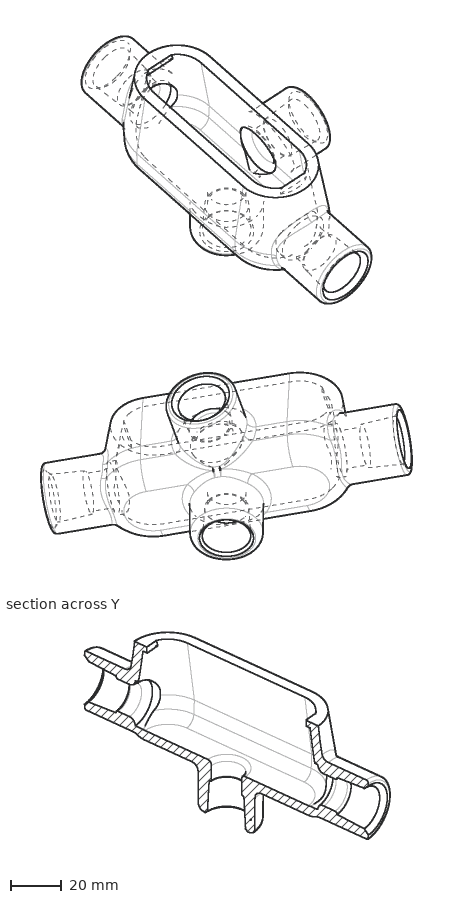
import cadquery as cq
import math

overall_length = 144.79
overall_width = 63.8
overall_height = 66.62

end_arc_offset = 29.9
belt_half_width = 21.36
rim_half_width = 17.0
rim_height = 29.6
body_depth = 15.7
lower_draft = 3.0
bottom_edge_radius = 9.3

wall = 4.85
lip_half_length = 40.5
lip_height = 3.0

port_diameter = 28.57
port_reach_x = overall_length / 2
port_reach_y = overall_width - belt_half_width
port_reach_z = overall_height - rim_height
port_tip_radius = 1.2
lower_port_tip_diameter = 28.9
lower_port_tip_radius = 3.0
lower_port_draft = 0.6
port_root_radius = 3.0
lower_port_root_radius = 3.0

contact_tolerance = 0.001

mouth_diameter = 23.5
lower_mouth_diameter = 21.44
bore_diameter = 19.2
bore_end_diameter = 17.45
bore_length = 16.0
throat_diameter = 15.2
side_entry_diameter = 21.44
lower_entry_diameter = 19.2


def slot(half_width):
    """Slot outline along X on the plane z = 0."""
    return cq.Workplane("XY").slot2D(2 * (end_arc_offset + half_width), 2 * half_width)


def double_tapered_slot(inset):
    """Solid bounded by the body's outer surface moved inwards by `inset`, with the rim left in place."""
    upper_draft = math.degrees(math.atan((belt_half_width - rim_half_width) / rim_height))
    upper = slot(belt_half_width - inset).extrude(rim_height, taper=upper_draft)
    lower = slot(belt_half_width - inset).extrude(inset - body_depth, taper=lower_draft)
    lower = lower.faces("<Z").edges().fillet(bottom_edge_radius - inset)
    return upper.union(lower)


def make_cavity():
    """Space inside the body, cut off flat at both ends over the height of the lip."""
    lip_bottom = rim_height - lip_height
    opening = (
        cq.Workplane("XY", origin=(0, 0, lip_bottom))
        .rect(2 * lip_half_length, 2 * belt_half_width)
        .extrude(lip_height)
    )
    below_lip = (
        cq.Workplane("XY", origin=(0, 0, -body_depth))
        .rect(2 * port_reach_x, 2 * belt_half_width)
        .extrude(body_depth + lip_bottom)
    )
    return double_tapered_slot(wall).intersect(opening.union(below_lip))


def side_of(direction):
    """A direction square to a port, along which the seam of its surface lies."""
    return (1, 0, 0) if direction[2] else (0, 0, 1)


def along(direction):
    """Workplane through the origin whose normal points along a port."""
    return cq.Workplane(cq.Plane((0, 0, 0), xDir=side_of(direction), normal=direction))


def side_port(direction, reach):
    """Straight cylindrical port with a rounded tip."""
    port = along(direction).circle(port_diameter / 2).extrude(reach)
    return port.faces(cq.DirectionMinMaxSelector(cq.Vector(*direction))).edges().fillet(port_tip_radius)


def lower_port():
    """Port pointing down that widens slightly towards the body."""
    axis_radius = lower_port_tip_diameter / 2 + port_reach_z * math.tan(math.radians(lower_port_draft))
    port = cq.Workplane("XY").circle(axis_radius).extrude(-port_reach_z, taper=lower_port_draft)
    return port.faces("<Z").edges().fillet(lower_port_tip_radius)


def bore(direction, reach, cavity_wall, tip_opening, cavity_opening):
    """Bore from the middle of the part, through the cavity wall, to the port tip at `reach`."""
    mouth = tip_opening / 2
    bore_start = bore_diameter / 2
    bore_end = bore_end_diameter / 2
    throat = throat_diameter / 2
    entry = cavity_opening / 2
    mouth_chamfer = mouth - bore_start
    entry_round = entry - throat
    outer_round = bore_end - throat
    bore_bottom = reach - bore_length
    arc_share = 1 - math.sqrt(0.5)

    side = cq.Vector(*side_of(direction))
    plane = cq.Plane((0, 0, 0), xDir=side, normal=side.cross(cq.Vector(*direction)))
    profile = (
        cq.Workplane(plane)
        .lineTo(entry, 0)
        .lineTo(entry, cavity_wall)
        .threePointArc(
            (throat + entry_round * arc_share, cavity_wall + entry_round * arc_share),
            (throat, cavity_wall + entry_round),
        )
        .lineTo(throat, bore_bottom - outer_round)
        .threePointArc(
            (throat + outer_round * arc_share, bore_bottom - outer_round * arc_share),
            (bore_end, bore_bottom),
        )
        .lineTo(bore_start, reach - mouth_chamfer)
        .lineTo(mouth, reach)
        .lineTo(0, reach)
        .close()
    )
    return profile.revolve(360, (0, 0, 0), (0, 1, 0))


def add_port(body, port, root_radius):
    """Join a port to the body and round the edges where the two surfaces meet."""
    body_skin = cq.Compound.makeCompound(body.faces().vals())
    port_skin = cq.Compound.makeCompound(port.faces().vals())
    joined = body.union(port)

    def on_both_skins(edge):
        middle = cq.Vertex.makeVertex(*edge.positionAt(0.5).toTuple())
        return max(middle.distance(body_skin), middle.distance(port_skin)) < contact_tolerance

    return joined.edges().filter(on_both_skins).fillet(root_radius)


left, right, back, down = (-1, 0, 0), (1, 0, 0), (0, 1, 0), (0, 0, -1)
cavity_half_width = belt_half_width - wall
cavity_half_length = end_arc_offset + cavity_half_width
side_ports = [
    (left, port_reach_x, cavity_half_length),
    (right, port_reach_x, cavity_half_length),
    (back, port_reach_y, cavity_half_width),
]

result = double_tapered_slot(0)
for direction, reach, _ in side_ports:
    result = add_port(result, side_port(direction, reach), port_root_radius)
result = add_port(result, lower_port(), lower_port_root_radius)

result = result.cut(make_cavity())
for direction, reach, cavity_wall in side_ports:
    result = result.cut(bore(direction, reach, cavity_wall, mouth_diameter, side_entry_diameter))
result = result.cut(bore(down, port_reach_z, body_depth - wall, lower_mouth_diameter, lower_entry_diameter))